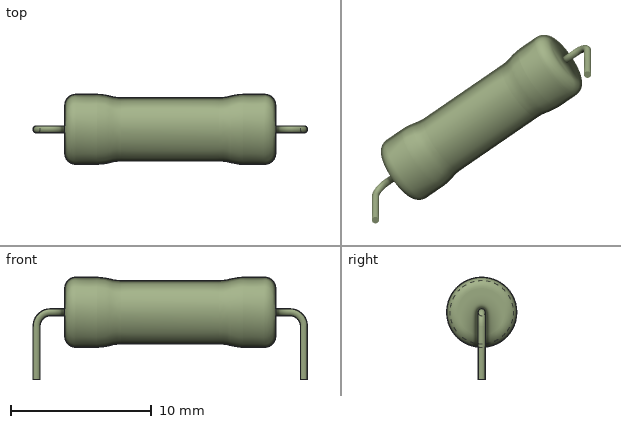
import cadquery as cq
import math

overall_length = 19.5

body_length = 15.0
cap_diameter = 5.0
waist_diameter = 4.5
edge_radius = 0.8
cap_length = 2.3
flare_length = 1.72

wire_diameter = 0.5
bend_radius = 1.0
lead_drop = 4.78

half_body = body_length / 2
cap_radius = cap_diameter / 2
waist_radius = waist_diameter / 2
lead_x = (overall_length - wire_diameter) / 2


def make_body():
    """Revolve the half profile; each flare is two tangent arcs forming an S."""
    cap_x = half_body - cap_length
    waist_x = cap_x - flare_length
    middle_x = (cap_x + waist_x) / 2
    middle_radius = (cap_radius + waist_radius) / 2
    corner_x = half_body - edge_radius
    corner_offset = edge_radius * math.sqrt(0.5)
    corner_middle = (corner_x + corner_offset, cap_radius - edge_radius + corner_offset)

    profile = (
        cq.Workplane("XY")
        .moveTo(-half_body, 0)
        .lineTo(-half_body, cap_radius - edge_radius)
        .threePointArc((-corner_middle[0], corner_middle[1]), (-corner_x, cap_radius))
        .lineTo(-cap_x, cap_radius)
        .tangentArcPoint((-middle_x, middle_radius), relative=False)
        .tangentArcPoint((-waist_x, waist_radius), relative=False)
        .lineTo(waist_x, waist_radius)
        .tangentArcPoint((middle_x, middle_radius), relative=False)
        .tangentArcPoint((cap_x, cap_radius), relative=False)
        .lineTo(corner_x, cap_radius)
        .threePointArc(corner_middle, (half_body, cap_radius - edge_radius))
        .lineTo(half_body, 0)
        .close()
    )
    return profile.revolve(360, (0, 0, 0), (1, 0, 0))


def make_right_lead():
    """Sweep the wire up from its tip, round the bend and into the body."""
    root_x = half_body - edge_radius
    path = (
        cq.Workplane("XZ")
        .moveTo(lead_x, -lead_drop)
        .lineTo(lead_x, -bend_radius)
        .tangentArcPoint((lead_x - bend_radius, 0), relative=False)
        .lineTo(root_x, 0)
    )
    tip = cq.Workplane("XY", origin=(lead_x, 0, -lead_drop))
    return tip.circle(wire_diameter / 2).sweep(path)


right_lead = make_right_lead()
left_lead = right_lead.mirror("YZ")
result = make_body().union(right_lead).union(left_lead)